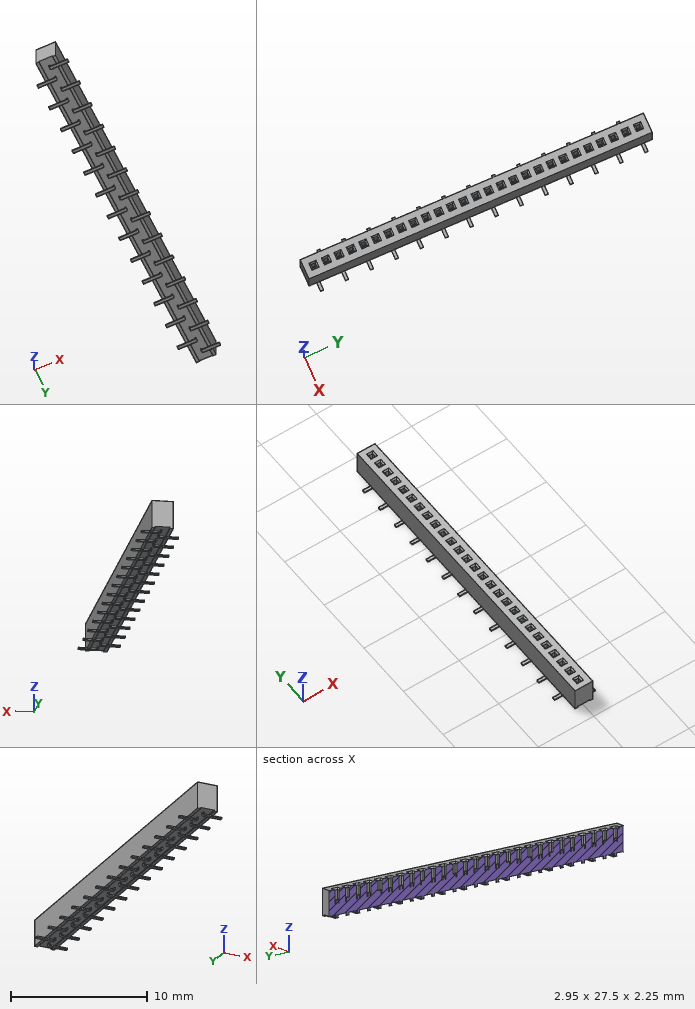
import cadquery as cq
import math

length = 27.5
lead_span = 2.95
total_height = 2.25

body_width = 1.6
standoff = 0.16
channel_width = 1.1
channel_depth = 0.088

contact_count = 27
pitch = length / (contact_count + 0.5)
lead_width = 0.253
lead_thickness = 0.1
bend_radius = 0.05

socket_throat = 0.33
funnel_depth = 0.125
socket_mouth = socket_throat + 2 * funnel_depth
socket_depth = 1.1
tip_height = 0.28

z_bottom = -total_height / 2
z_top = total_height / 2
z_rail = z_bottom + standoff
z_tip = z_top - socket_depth + tip_height

contact_rows = [
    (index - (contact_count - 1) / 2) * pitch for index in range(contact_count)
]


def housing():
    """Long bar with a shallow channel along its underside."""
    bar = cq.Workplane("XY", origin=(0, 0, z_rail)).box(
        body_width, length, z_top - z_rail, centered=(True, True, False)
    )
    channel = cq.Workplane("XY", origin=(0, 0, z_rail)).box(
        channel_width, length, channel_depth, centered=(True, True, False)
    )
    return bar.cut(channel)


def sockets():
    """Square blind holes in the top face, each with a tapered mouth."""
    rows = [(0, y) for y in contact_rows]
    throats = (
        cq.Workplane("XY", origin=(0, 0, z_top))
        .pushPoints(rows)
        .rect(socket_throat, socket_throat)
        .extrude(-socket_depth)
    )
    funnel = (
        cq.Workplane("XY", origin=(0, 0, z_top))
        .rect(socket_mouth, socket_mouth)
        .workplane(offset=-funnel_depth)
        .rect(socket_throat, socket_throat)
        .loft(ruled=True)
    )
    for y in contact_rows:
        throats = throats.union(funnel.translate((0, y, 0)))
    return throats


def contact(y, side):
    """L-shaped strip: a stem up to the socket and a flat lead toward +X (side 1) or -X (side -1)."""
    half_stem = lead_thickness / 2
    z_lead_top = z_bottom + lead_thickness
    outer_radius = bend_radius + lead_thickness
    diagonal = math.sqrt(0.5)
    bend_x = half_stem + bend_radius
    bend_z = z_lead_top + bend_radius
    return (
        cq.Workplane("XZ", origin=(0, y + lead_width / 2, 0))
        .moveTo(side * lead_span / 2, z_bottom)
        .lineTo(side * bend_x, z_bottom)
        .threePointArc(
            (side * (bend_x - outer_radius * diagonal), bend_z - outer_radius * diagonal),
            (-side * half_stem, bend_z),
        )
        .lineTo(-side * half_stem, z_tip)
        .lineTo(side * half_stem, z_tip)
        .lineTo(side * half_stem, bend_z)
        .threePointArc(
            (side * (bend_x - bend_radius * diagonal), bend_z - bend_radius * diagonal),
            (side * bend_x, z_lead_top),
        )
        .lineTo(side * lead_span / 2, z_lead_top)
        .close()
        .extrude(lead_width)
    )


result = housing().cut(sockets())
for index, row_y in enumerate(contact_rows):
    lead_side = 1 if index % 2 == 0 else -1
    result = result.union(contact(row_y, lead_side))